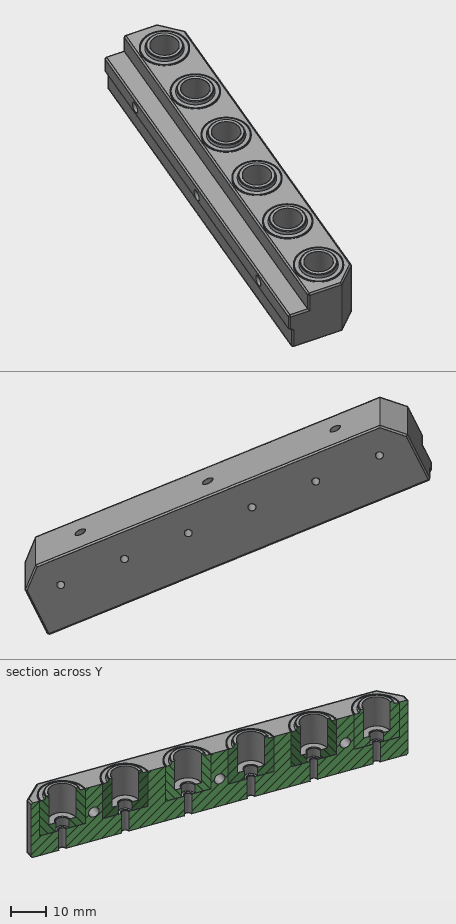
import cadquery as cq

length = 120
depth = 22.8
height = 19.0
step_depth = 16.7
ledge_height = 13.0
nose_overhang = 1.0
nose_bottom = 7.8
corner_cut = 6
edge_chamfer = 0.5

cross_hole_diameter = 3.2
outer_cross_hole_height = 10.0
middle_cross_hole_height = 9.5
cross_hole_spacing = length / 3

bushing_count = 6
bushing_pitch = length / bushing_count
bushing_setback = 8.5
socket_diameter = 14.4
socket_depth = 12
drain_diameter = 2.3
hole_chamfer = 0.2

total_height = 20.0
shoulder_chamfer = 0.3
collar_base_diameter = 11.3
rim_diameter = 10.7
rim_chamfer = 0.2
bore_diameter = 8.4
bushing_floor = 3.0
floor_hole_diameter = 4.1

back_y = depth / 2
front_y = -depth / 2
row_y = back_y - bushing_setback
socket_floor_z = height - socket_depth
bushing_places = [(bushing_pitch * (i - (bushing_count - 1) / 2), row_y) for i in range(bushing_count)]


def make_block():
    """Stepped bar with chamfered outer edges and two cut rear corners."""
    step_y = back_y - step_depth
    lower_front_y = front_y + nose_overhang
    profile = [
        (back_y, 0),
        (back_y, height),
        (step_y, height),
        (step_y, ledge_height),
        (front_y, ledge_height),
        (front_y, nose_bottom),
        (lower_front_y, nose_bottom - nose_overhang),
        (lower_front_y, 0),
    ]
    bar = cq.Workplane("YZ").polyline(profile).close().extrude(length / 2, both=True)
    bar = bar.edges("|Z and >Y").chamfer(corner_cut)
    end_edges = bar.faces("<X or >X").edges("not (|Z and >Y)")
    top_and_bottom_edges = bar.faces("<Z or >Z").edges()
    nose_top_edge = bar.faces("<Y").edges(">Z")
    chamfered_edges = set(end_edges.vals() + top_and_bottom_edges.vals() + nose_top_edge.vals())
    return bar.newObject(chamfered_edges).chamfer(edge_chamfer)


def cross_hole(x, z):
    """Cutter for a hole through the full depth of the bar."""
    hole = cq.Workplane("XZ").center(x, z).circle(cross_hole_diameter / 2)
    return hole.extrude(depth, both=True)


def make_housing():
    """Bar with three cross holes and a row of sockets."""
    housing = make_block()
    for x, z in [
        (-cross_hole_spacing, outer_cross_hole_height),
        (0, middle_cross_hole_height),
        (cross_hole_spacing, outer_cross_hole_height),
    ]:
        housing = housing.cut(cross_hole(x, z))
    for x, y in bushing_places:
        housing = housing.cut(socket().translate((x, y, 0)))
    return housing


def socket():
    """Cutter for a socket with a countersunk drain hole through its floor."""
    profile = [
        (0, 0),
        (drain_diameter / 2, 0),
        (drain_diameter / 2, socket_floor_z - hole_chamfer),
        (drain_diameter / 2 + hole_chamfer, socket_floor_z),
        (socket_diameter / 2, socket_floor_z),
        (socket_diameter / 2, height),
        (0, height),
    ]
    return cq.Workplane("XZ").polyline(profile).close().revolve(360, (0, 0), (0, 1))


def make_bushing():
    """Cup with a flush shoulder, a tapered collar, a bore and a smaller hole through its floor."""
    outer_radius = socket_diameter / 2
    rim_radius = rim_diameter / 2
    hole_radius = floor_hole_diameter / 2
    bore_floor_z = socket_floor_z + bushing_floor
    return (
        cq.Workplane("XZ")
        .moveTo(hole_radius, socket_floor_z)
        .lineTo(outer_radius, socket_floor_z)
        .lineTo(outer_radius, height - shoulder_chamfer)
        .lineTo(outer_radius - shoulder_chamfer, height)
        .lineTo(collar_base_diameter / 2, height)
        .lineTo(rim_radius, total_height - rim_chamfer)
        .lineTo(rim_radius - rim_chamfer, total_height)
        .lineTo(bore_diameter / 2, total_height)
        .lineTo(bore_diameter / 2, bore_floor_z)
        .lineTo(hole_radius + hole_chamfer, bore_floor_z)
        .lineTo(hole_radius, bore_floor_z - hole_chamfer)
        .close()
        .revolve(360, (0, 0), (0, 1))
    )


housing = make_housing()
bushings = [make_bushing().translate((x, y, 0)) for x, y in bushing_places]

result = cq.Compound.makeCompound([housing.val(), *[bushing.val() for bushing in bushings]])